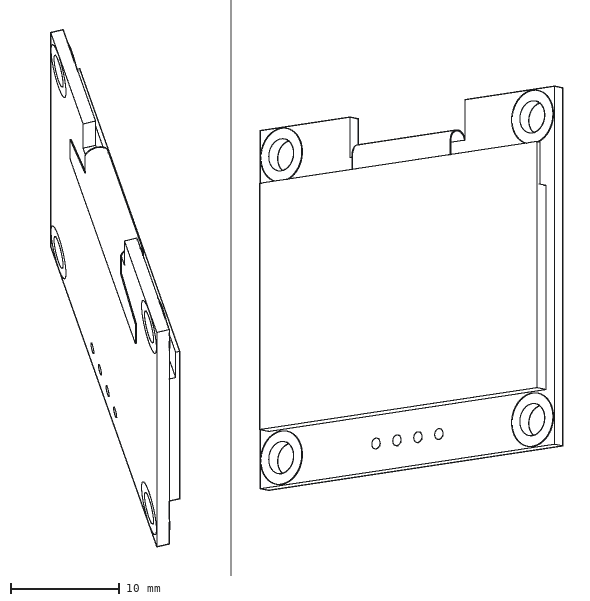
import cadquery as cq


board_width = 35.65
board_height = 33.6
board_thickness = 1.2
notch_width = 13.9
notch_depth = 3.8

sleeve_spacing_x = 30.4
sleeve_spacing_z = 28.4
sleeve_outer_diameter = 5.0
sleeve_bore_diameter = 3.0
sleeve_stand_out = 0.1

pin_count = 4
pin_pitch = 2.54
pin_hole_diameter = 1.0

panel_width = 33.6
panel_height = 23.1
panel_bottom_margin = 5.25
panel_thickness = 1.3
glass_thickness = 0.4
glass_overhang = 3.95

ribbon_thickness = 0.1
ribbon_width = 11.9
ribbon_pad_width = 21.9
ribbon_shoulder_depth = 6.35
ribbon_flare_depth = 7.7
ribbon_pad_depth = 10.75
ribbon_glass_overlap = 1.5

board_top = board_height / 2
panel_back = board_thickness + panel_thickness
glass_front = panel_back - glass_thickness
panel_bottom = -board_height / 2 + panel_bottom_margin
panel_top = panel_bottom + panel_height
pin_row_z = -sleeve_spacing_z / 2
sleeve_centers = [
    (x * sleeve_spacing_x / 2, z * sleeve_spacing_z / 2)
    for x in (-1, 1)
    for z in (-1, 1)
]


def box(width, y_range, z_range):
    """Box centred on X = 0, spanning the given Y and Z ranges."""
    size_y = y_range[1] - y_range[0]
    size_z = z_range[1] - z_range[0]
    corner = (-width / 2, y_range[0], z_range[0])
    return cq.Workplane("XY").box(width, size_y, size_z, centered=False).translate(corner)


def cylinder(center, diameter, length):
    """Cylinder along +Y that starts on the board's front face."""
    x, z = center
    return cq.Workplane("XZ").center(x, z).circle(diameter / 2).extrude(-length)


def make_board():
    board = box(board_width, (0, board_thickness), (-board_top, board_top))
    board = board.cut(box(notch_width, (0, board_thickness), (board_top - notch_depth, board_top)))
    for center in sleeve_centers:
        board = board.cut(cylinder(center, sleeve_outer_diameter, board_thickness))
    for index in range(pin_count):
        pin_x = (index - (pin_count - 1) / 2) * pin_pitch
        board = board.cut(cylinder((pin_x, pin_row_z), pin_hole_diameter, board_thickness))
    return board


def make_sleeve(center):
    length = board_thickness + sleeve_stand_out
    return cylinder(center, sleeve_outer_diameter, length).cut(
        cylinder(center, sleeve_bore_diameter, length)
    )


def make_panel():
    glass = box(panel_width, (glass_front, panel_back), (panel_bottom, panel_top))
    backing = box(
        panel_width, (board_thickness, glass_front), (panel_bottom, panel_top - glass_overhang)
    )
    return glass.union(backing)


def make_ribbon():
    outer_front = -ribbon_thickness
    outer_radius = (glass_front - outer_front) / 2
    inner_radius = outer_radius - ribbon_thickness
    bend_y = outer_front + outer_radius
    bend_z = board_top - notch_depth
    tail_z = panel_top - ribbon_glass_overlap
    front_end_z = board_top - ribbon_shoulder_depth
    strip = (
        cq.Workplane("YZ")
        .moveTo(outer_front, front_end_z)
        .lineTo(outer_front, bend_z)
        .threePointArc((bend_y, bend_z + outer_radius), (glass_front, bend_z))
        .lineTo(glass_front, tail_z)
        .lineTo(glass_front - ribbon_thickness, tail_z)
        .lineTo(glass_front - ribbon_thickness, bend_z)
        .threePointArc((bend_y, bend_z + inner_radius), (0, bend_z))
        .lineTo(0, front_end_z)
        .close()
        .extrude(ribbon_width / 2, both=True)
    )
    flare_z = board_top - ribbon_flare_depth
    pad_z = board_top - ribbon_pad_depth
    pad = (
        cq.Workplane("XZ")
        .polyline([
            (-ribbon_width / 2, front_end_z),
            (ribbon_width / 2, front_end_z),
            (ribbon_pad_width / 2, flare_z),
            (ribbon_pad_width / 2, pad_z),
            (-ribbon_pad_width / 2, pad_z),
            (-ribbon_pad_width / 2, flare_z),
        ])
        .close()
        .extrude(ribbon_thickness)
    )
    return strip.union(pad)


board = make_board()
sleeves = [make_sleeve(center) for center in sleeve_centers]
panel = make_panel()
ribbon = make_ribbon()

result = cq.Compound.makeCompound([
    board.val(),
    *[sleeve.val() for sleeve in sleeves],
    panel.val(),
    ribbon.val(),
])